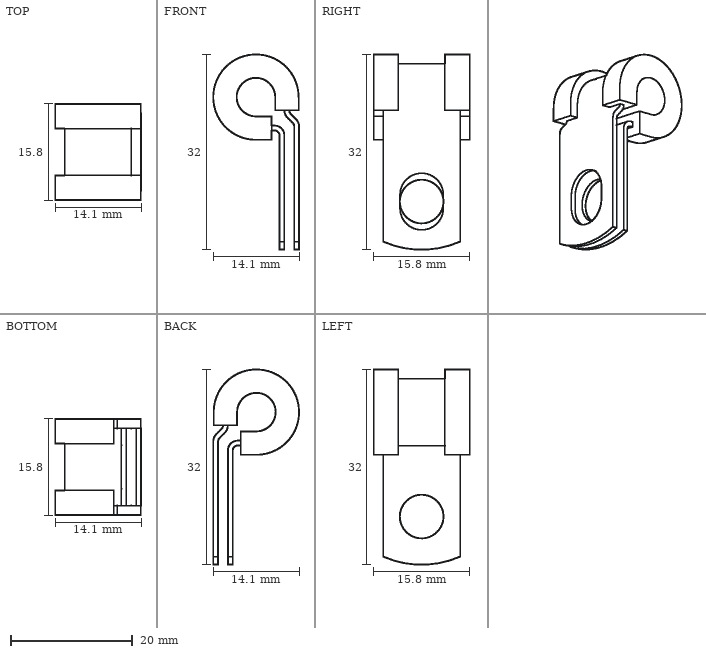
import cadquery as cq
import math

length = 15.75
flange_radius = 7.0
bore_radius = 3.15
waist_length = 7.62
upper_end_drop = 2.18
lower_end_reach = 2.55

waist_radius = 5.48
strap_thickness = 0.83
strap_width = 12.65
bend_inner_radius = 0.8
lower_bend_start = 3.05
upper_leg_outer_x = 7.08

tab_bottom_z = flange_radius - 32.03
tab_tip_sag = 1.35
hole_radius = 3.55
hole_z = -17.1
slot_center_shift = 1.1

strap_inner_radius = waist_radius - strap_thickness
bend_outer_radius = bend_inner_radius + strap_thickness
SIN_45 = math.sin(math.pi / 4)


def extrude_centered(outline, width):
    return outline.close().extrude(width).translate((0, width / 2, 0))


def open_ring(outer, inner, width):
    """Ring open at its lower right, each end continuing as a short straight."""
    outline = (
        cq.Workplane("XZ")
        .moveTo(lower_end_reach, -outer)
        .lineTo(0, -outer)
        .threePointArc((-outer * SIN_45, outer * SIN_45), (outer, 0))
        .lineTo(outer, -upper_end_drop)
        .lineTo(inner, -upper_end_drop)
        .lineTo(inner, 0)
        .threePointArc((-inner * SIN_45, inner * SIN_45), (0, -inner))
        .lineTo(lower_end_reach, -inner)
    )
    return extrude_centered(outline, width)


def cushion():
    """Full-length waist with a larger flange at each end."""
    flange_length = (length - waist_length) / 2
    flange_offset = (waist_length + flange_length) / 2
    body = open_ring(waist_radius, bore_radius, length)
    for side in (-1, 1):
        flange = open_ring(flange_radius, bore_radius, flange_length)
        body = body.union(flange.translate((0, side * flange_offset, 0)))
    return body


def arc_point(center, radius, degrees):
    angle = math.radians(degrees)
    return (center[0] + radius * math.cos(angle), center[1] + radius * math.sin(angle))


def lower_leg():
    """Strap leaving the lower cushion end and turning straight down."""
    center = (lower_bend_start, -strap_inner_radius - bend_outer_radius)
    outline = (
        cq.Workplane("XZ")
        .moveTo(lower_end_reach, -strap_inner_radius)
        .lineTo(lower_bend_start, -strap_inner_radius)
        .threePointArc(arc_point(center, bend_outer_radius, 45), arc_point(center, bend_outer_radius, 0))
        .lineTo(center[0] + bend_outer_radius, tab_bottom_z)
        .lineTo(center[0] + bend_inner_radius, tab_bottom_z)
        .lineTo(*arc_point(center, bend_inner_radius, 0))
        .threePointArc(arc_point(center, bend_inner_radius, 45), arc_point(center, bend_inner_radius, 90))
        .lineTo(lower_end_reach, -waist_radius)
    )
    return extrude_centered(outline, strap_width)


def upper_leg():
    """Strap jogging outward at 45 degrees below the upper cushion end."""
    offset = upper_leg_outer_x - waist_radius
    bend_radii = bend_inner_radius + bend_outer_radius
    straight_run = offset - bend_radii * (1 - SIN_45)
    jog_height = straight_run + bend_radii * SIN_45
    first = (strap_inner_radius + bend_outer_radius, -upper_end_drop)
    second = (upper_leg_outer_x - bend_outer_radius, -upper_end_drop - jog_height)
    inner_x = upper_leg_outer_x - strap_thickness
    outline = (
        cq.Workplane("XZ")
        .moveTo(waist_radius, -upper_end_drop)
        .threePointArc(arc_point(first, bend_inner_radius, 202.5), arc_point(first, bend_inner_radius, 225))
        .lineTo(*arc_point(second, bend_outer_radius, 45))
        .threePointArc(arc_point(second, bend_outer_radius, 22.5), arc_point(second, bend_outer_radius, 0))
        .lineTo(upper_leg_outer_x, tab_bottom_z)
        .lineTo(inner_x, tab_bottom_z)
        .lineTo(*arc_point(second, bend_inner_radius, 0))
        .threePointArc(arc_point(second, bend_inner_radius, 22.5), arc_point(second, bend_inner_radius, 45))
        .lineTo(*arc_point(first, bend_outer_radius, 225))
        .threePointArc(arc_point(first, bend_outer_radius, 202.5), arc_point(first, bend_outer_radius, 180))
    )
    return extrude_centered(outline, strap_width)


def tab_envelope():
    """Solid along X that trims the strap to its rounded tip."""
    half_width = strap_width / 2
    edge_z = tab_bottom_z + tab_tip_sag
    return (
        cq.Workplane("YZ")
        .moveTo(-half_width, 0)
        .lineTo(-half_width, edge_z)
        .threePointArc((0, tab_bottom_z), (half_width, edge_z))
        .lineTo(half_width, 0)
        .close()
        .extrude(upper_leg_outer_x)
    )


def round_hole():
    return cq.Workplane("YZ").center(0, hole_z).circle(hole_radius).extrude(upper_leg_outer_x)


def vertical_slot():
    slot_length = 2 * (hole_radius + slot_center_shift)
    return (
        cq.Workplane("YZ")
        .center(0, hole_z)
        .slot2D(slot_length, 2 * hole_radius, 90)
        .extrude(upper_leg_outer_x)
    )


legs = lower_leg().cut(round_hole()).union(upper_leg().cut(vertical_slot()))
result = cushion().union(legs.intersect(tab_envelope()))